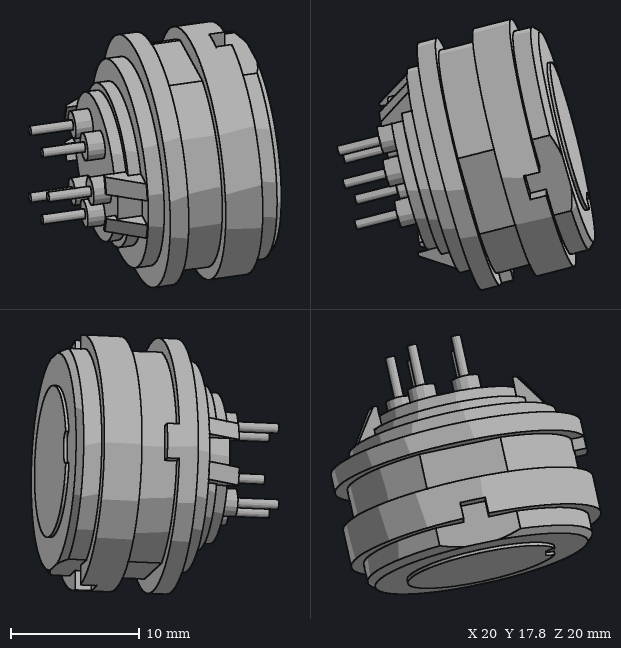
import cadquery as cq
import math


flange_radius = 10
flange_back = 1.5
tab_width = 2.75
tab_back = 2.45

body_radius = 9
body_back = 9.45
body_chamfer = 0.5
flat_height = 8.4

nut_radius = flange_radius
nut_front = 4.5
nut_back = 7.5
slot_width = 2
slot_depth = 1.28

rim_radius = 5.95
rim_back = 9.7
key_width = 2.52
key_corner_radius = 0.72

shoulder_radius = 8.25
shoulder_front = -1.28
step_radius = 6.5
step_front = -2.3
face_radius = 5.92
face_front = -3.28

clip_inner_z = 1.1
clip_outer_z = 2.45
clip_base_radius = 8
clip_tip_radius = 6.22
clip_front = -4.1

pin_circle_radius = 3.5
pin_angles = [0, 60, 120, 240, 300]
pin_radius = 0.4
pin_front = -8.1
collar_radius = 1.1
collar_front = -4.68


def disc(radius, back, front, x=0, z=0):
    """Cylinder along Y between two Y positions."""
    return cq.Workplane("XZ", origin=(x, back, z)).circle(radius).extrude(back - front)


def block(x_range, y_range, z_range):
    """Axis-aligned box given by its limits."""
    (x0, x1), (y0, y1), (z0, z1) = x_range, y_range, z_range
    return cq.Workplane("XY").box(x1 - x0, y1 - y0, z1 - z0, centered=False).translate((x0, y0, z0))


def make_body():
    body = disc(body_radius, body_back, 0).faces(">Y").chamfer(body_chamfer)
    between_flats = block(
        (-body_radius, body_radius), (0, body_back), (-flat_height, flat_height)
    )
    return body.intersect(between_flats)


def make_flange():
    tab_limits = block(
        (-flange_radius, -flat_height), (0, tab_back), (-tab_width / 2, tab_width / 2)
    )
    tab = disc(flange_radius, tab_back, 0).intersect(tab_limits)
    return disc(flange_radius, flange_back, 0).union(tab)


def make_nut():
    slots = block(
        (-slot_width / 2, slot_width / 2),
        (nut_back - slot_depth, nut_back),
        (-nut_radius, nut_radius),
    )
    return disc(nut_radius, nut_back, nut_front).cut(slots)


def make_rim():
    mouth_x = -math.sqrt(rim_radius**2 - (key_width / 2) ** 2)
    keyway = block(
        (-rim_radius, mouth_x + key_corner_radius),
        (body_back, rim_back),
        (-key_width / 2, key_width / 2),
    )
    keyway = keyway.edges("|Y and >X").fillet(key_corner_radius)
    return disc(rim_radius, rim_back, body_back).cut(keyway)


def make_insert():
    shoulder = disc(shoulder_radius, 0, shoulder_front)
    step = disc(step_radius, shoulder_front, step_front)
    face = disc(face_radius, shoulder_front, face_front)
    bridge_limits = block(
        (-step_radius, step_radius), (face_front, shoulder_front), (-clip_inner_z, clip_inner_z)
    )
    bridge = disc(step_radius, shoulder_front, face_front).intersect(bridge_limits)
    return shoulder.union(step).union(face).union(bridge)


def make_clips():
    ring = (
        cq.Workplane("XY")
        .moveTo(face_radius, shoulder_front)
        .lineTo(clip_base_radius, shoulder_front)
        .lineTo(clip_tip_radius, clip_front)
        .lineTo(face_radius, clip_front)
        .close()
        .revolve(360, (0, 0, 0), (0, 1, 0))
    )
    x_range = (-clip_base_radius, clip_base_radius)
    y_range = (clip_front, shoulder_front)
    upper = block(x_range, y_range, (clip_inner_z, clip_outer_z))
    lower = block(x_range, y_range, (-clip_outer_z, -clip_inner_z))
    return ring.intersect(upper.union(lower))


def make_pin(angle):
    x = pin_circle_radius * math.cos(math.radians(angle))
    z = pin_circle_radius * math.sin(math.radians(angle))
    collar = disc(collar_radius, face_front, collar_front, x, z)
    return collar.union(disc(pin_radius, face_front, pin_front, x, z))


result = make_body()
for feature in (make_flange(), make_nut(), make_rim(), make_insert(), make_clips()):
    result = result.union(feature)
for pin_angle in pin_angles:
    result = result.union(make_pin(pin_angle))